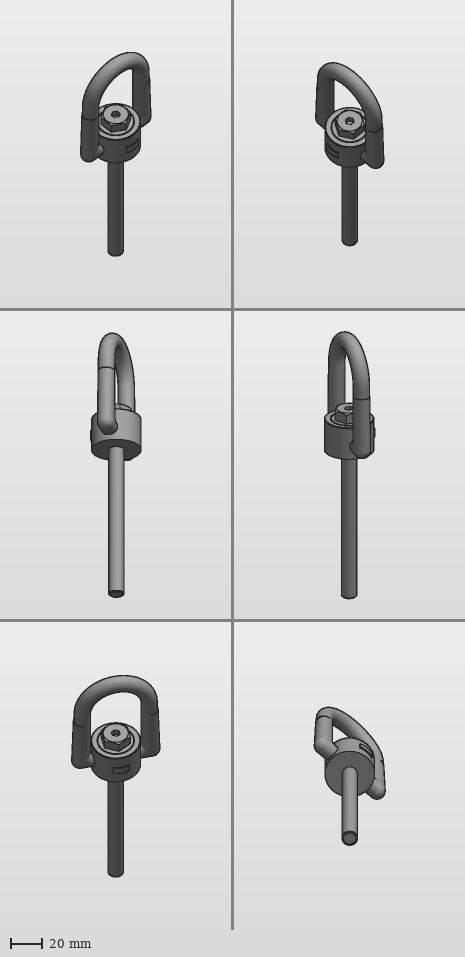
import cadquery as cq
import math

body_radius = 16.0
body_height = 22.0
body_chamfer = 0.5

pad_height = 0.8
pad_width = 10.5
pad_depth = 5.2
pad_centre_z = 11.0

shank_radius = 5.0
shank_length = 103.1
tip_radius = 4.1
tip_length = 0.8
washer_radius = 12.0
ring_groove_width = 0.4
ring_groove_depth = 0.3
head_flats = 17.0
head_height = 7.0
head_chamfer_angle = 30.0
hexagon_sides = 6
head_face_radius = 8.1
socket_flats = 5.0
socket_depth = 4.0

bar_radius = 5.35
bow_radius = 22.1
shackle_top = 80.5
shackle_width = 58.16
pin_centre_z = 9.05
elbow_radius = 6.2
thick_top_z = 46.2
thick_top_offset = 0.5

bow_centre_z = shackle_top - bar_radius - bow_radius
corner_y = shackle_width / 2 - bar_radius
thick_top_y = bow_radius + thick_top_offset
elbow_y = bow_radius - elbow_radius
elbow_z = pin_centre_z + elbow_radius
elbow_mid_angle = math.radians(45)
elbow_mid_y = elbow_y + elbow_radius * math.sin(elbow_mid_angle)
elbow_mid_z = elbow_z - elbow_radius * math.cos(elbow_mid_angle)


def make_body():
    body = cq.Workplane("XY").circle(body_radius).extrude(body_height)
    body = body.faces(">Z").edges().chamfer(body_chamfer)
    groove = (
        cq.Workplane("XY", origin=(0, 0, body_height - ring_groove_depth))
        .circle(washer_radius)
        .circle(washer_radius - ring_groove_width)
        .extrude(ring_groove_depth)
    )
    return body.cut(groove)


def make_marking_pad():
    outer = cq.Workplane("XY").circle(body_radius + pad_height).extrude(body_height)
    window = cq.Workplane("XY").box(body_radius * 2, pad_width, pad_depth)
    return outer.intersect(window.translate((body_radius, 0, pad_centre_z)))


def make_shank():
    shank = cq.Workplane("XY").circle(shank_radius).extrude(tip_length - shank_length)
    tip = cq.Workplane("XY").circle(tip_radius).extrude(-shank_length)
    return shank.union(tip)


def hexagon(flats, bottom, height):
    corner_diameter = flats / math.cos(math.pi / hexagon_sides)
    return cq.Workplane("XY", origin=(0, 0, bottom)).polygon(hexagon_sides, corner_diameter).extrude(height)


def make_head():
    head_top = body_height + head_height
    skirt_radius = head_face_radius + head_height / math.tan(math.radians(head_chamfer_angle))
    chamfer_cone = (
        cq.Workplane("XZ")
        .moveTo(0, body_height)
        .lineTo(skirt_radius, body_height)
        .lineTo(head_face_radius, head_top)
        .lineTo(0, head_top)
        .close()
        .revolve(360, (0, 0, 0), (0, 1, 0))
    )
    return hexagon(head_flats, body_height, head_height).intersect(chamfer_cone)


def make_socket():
    return hexagon(socket_flats, body_height + head_height - socket_depth, socket_depth)


def make_bow():
    """Half of the bent bar, from inside the body to the middle of the bow."""
    half_path = (
        cq.Workplane("YZ")
        .moveTo(0, pin_centre_z)
        .lineTo(elbow_y, pin_centre_z)
        .threePointArc((elbow_mid_y, elbow_mid_z), (bow_radius, elbow_z))
        .lineTo(bow_radius, bow_centre_z)
        .radiusArc((0, bow_centre_z + bow_radius), -bow_radius)
    )
    return cq.Workplane("XZ", origin=(0, 0, pin_centre_z)).circle(bar_radius).sweep(half_path)


def make_thickening():
    """Outer thickening of one leg: leaning bar, ball corner, pin and the web joining them to the bar."""
    lean_y = corner_y - thick_top_y
    lean_length = math.hypot(lean_y, thick_top_z - pin_centre_z)
    lean_direction = cq.Vector(0, -lean_y, thick_top_z - pin_centre_z)
    corner = cq.Vector(0, corner_y, pin_centre_z)
    leg = cq.Workplane(cq.Solid.makeCylinder(bar_radius, lean_length, corner, lean_direction))
    ball = cq.Workplane("XY").sphere(bar_radius).translate(corner.toTuple())
    pin = cq.Workplane("XZ", origin=corner.toTuple()).circle(bar_radius).extrude(corner_y)
    web = (
        cq.Workplane("YZ")
        .moveTo(corner_y, pin_centre_z)
        .lineTo(thick_top_y, thick_top_z)
        .lineTo(bow_radius, thick_top_z)
        .lineTo(bow_radius, elbow_z)
        .threePointArc((elbow_mid_y, elbow_mid_z), (elbow_y, pin_centre_z))
        .close()
        .extrude(bar_radius, both=True)
    )
    return leg.union(ball).union(pin).union(web)


half_shackle = make_bow().union(make_thickening())
shackle = half_shackle.union(half_shackle.mirror("XZ"))

result = (
    make_body()
    .union(make_marking_pad())
    .union(make_shank())
    .union(make_head())
    .union(shackle)
    .cut(make_socket())
)